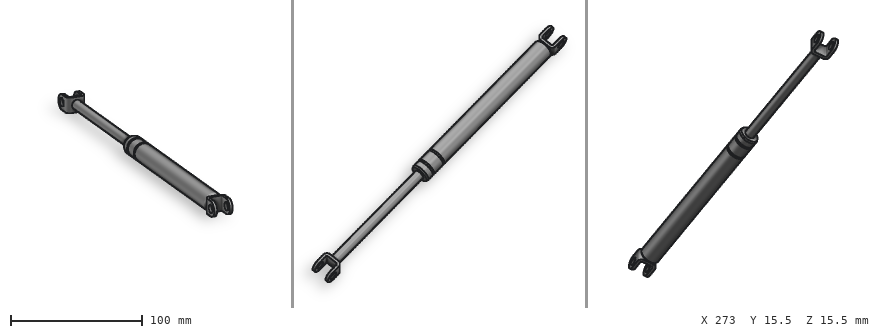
import cadquery as cq
import math

overall_length = 273.0

clevis_length = 16.0
clevis_width = 15.5
clevis_height = 12.5
sheet_thickness = 2.5
inner_bend_radius = 1.0
outer_bend_radius = inner_bend_radius + sheet_thickness
eye_radius = clevis_height / 2
pin_hole_diameter = 6.5

rod_diameter = 8.0
seat_depth = 19.0

cylinder_diameter = 15.5
cylinder_radius = cylinder_diameter / 2
cylinder_start = 113.5
front_chamfer_length = 1.6
front_chamfer_depth = 0.5
groove_offsets = (7.5, 19.0)
groove_width = 1.6
groove_depth = 0.5
rear_round_radius = 2.0
neck_length = 0.5

rod_start = clevis_length
rear_clevis_start = overall_length - clevis_length
cylinder_end = rear_clevis_start - neck_length


def make_clevis():
    """Clevis with its back on X = 0 and its two eyes pointing along +X."""
    cavity_length = clevis_length - sheet_thickness
    cavity_width = clevis_width - 2 * sheet_thickness
    eye_center = clevis_length - eye_radius
    outer = (
        cq.Workplane("XY")
        .box(clevis_length, clevis_width, clevis_height, centered=(False, True, True))
        .edges("|Z and <X").fillet(outer_bend_radius)
    )
    cavity = (
        cq.Workplane("XY")
        .box(cavity_length, cavity_width, clevis_height, centered=(False, True, True))
        .edges("|Z and <X").fillet(inner_bend_radius)
        .translate((sheet_thickness, 0, 0))
    )
    side_outline = (
        cq.Workplane("XZ")
        .moveTo(0, -eye_radius)
        .lineTo(eye_center, -eye_radius)
        .threePointArc((clevis_length, 0), (eye_center, eye_radius))
        .lineTo(0, eye_radius)
        .close()
        .extrude(clevis_width / 2, both=True)
    )
    pin_holes = (
        cq.Workplane("XZ")
        .center(eye_center, 0)
        .circle(pin_hole_diameter / 2)
        .extrude(clevis_width / 2, both=True)
    )
    return outer.cut(cavity).intersect(side_outline).cut(pin_holes)


def make_round_bar(start, end, diameter):
    """Round bar on the X axis between two X positions."""
    return cq.Workplane("YZ", origin=(start, 0, 0)).circle(diameter / 2).extrude(end - start)


def make_rod():
    """Rod with the front clevis, its far end seated in the cylinder."""
    clevis = make_clevis().rotate((0, 0, 0), (0, 0, 1), 180).translate((clevis_length, 0, 0))
    bar = make_round_bar(rod_start, cylinder_start + seat_depth, rod_diameter)
    return clevis.union(bar)


def make_cylinder():
    """Turned tube with two rolled grooves, a rod seat, a short neck and the rear clevis."""
    round_start = cylinder_end - rear_round_radius
    round_center_radius = cylinder_radius - rear_round_radius
    round_middle = rear_round_radius * math.sqrt(0.5)
    profile = (
        cq.Workplane("XY")
        .moveTo(cylinder_start, 0)
        .lineTo(cylinder_start, cylinder_radius - front_chamfer_depth)
        .lineTo(cylinder_start + front_chamfer_length, cylinder_radius)
    )
    for offset in groove_offsets:
        center = cylinder_start + offset
        profile = (
            profile.lineTo(center - groove_width / 2, cylinder_radius)
            .threePointArc(
                (center, cylinder_radius - groove_depth),
                (center + groove_width / 2, cylinder_radius),
            )
        )
    profile = (
        profile.lineTo(round_start, cylinder_radius)
        .threePointArc(
            (round_start + round_middle, round_center_radius + round_middle),
            (cylinder_end, round_center_radius),
        )
        .lineTo(rear_clevis_start, round_center_radius)
        .lineTo(rear_clevis_start, 0)
        .close()
    )
    tube = profile.revolve(360, (0, 0, 0), (1, 0, 0))
    rod_seat = make_round_bar(cylinder_start, cylinder_start + seat_depth, rod_diameter)
    clevis = make_clevis().translate((rear_clevis_start, 0, 0))
    return tube.cut(rod_seat).union(clevis)


rod = make_rod()
cylinder = make_cylinder()
result = cq.Compound.makeCompound([rod.val(), cylinder.val()])